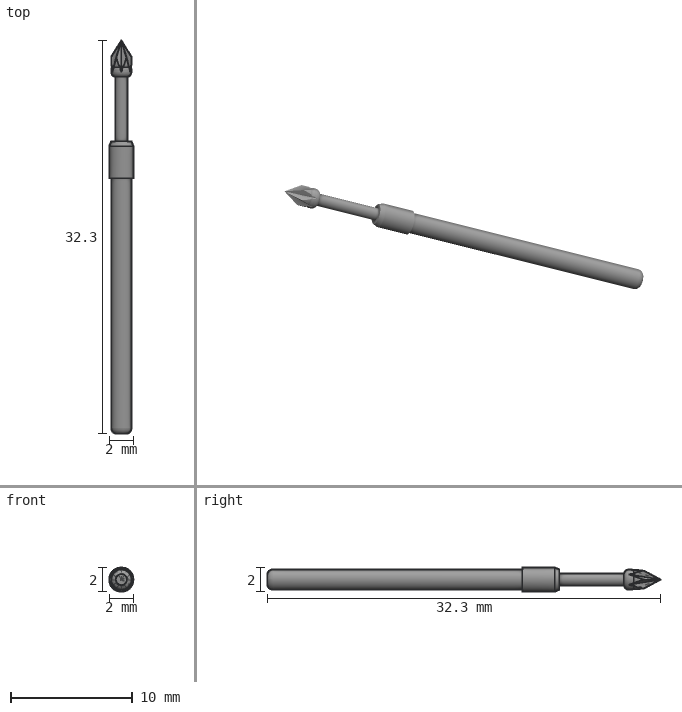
import cadquery as cq
import math

total_length = 32.3

barrel_radius = 0.85
tail_flat_radius = 0.45
tail_round_length = 0.5

collar_radius = 1.0
collar_rear = 20.95
collar_length = 3.05
collar_taper_length = 0.4
collar_face_radius = 0.85

shank_radius = 0.52
head_radius = 0.85
head_length = 3.0
head_round_length = 0.42

groove_center = 2.2
groove_width = 0.4
groove_depth = 0.05

ridge_count = 6
ridge_length = 1.35
valley_length = 2.6

collar_front = collar_rear + collar_length
head_rear = total_length - head_length


def turned_body():
    """Barrel, collar and shank as one solid of revolution; the tail rounding is tangent to the barrel."""
    profile = (
        cq.Workplane("XY")
        .lineTo(0, head_rear)
        .lineTo(shank_radius, head_rear)
        .lineTo(shank_radius, collar_front)
        .lineTo(collar_face_radius, collar_front)
        .lineTo(collar_radius, collar_front - collar_taper_length)
        .lineTo(collar_radius, collar_rear)
        .lineTo(barrel_radius, collar_rear)
        .lineTo(barrel_radius, tail_round_length)
        .tangentArcPoint((tail_flat_radius, 0), relative=False)
        .close()
    )
    return profile.revolve(360, (0, 0, 0), (0, 1, 0))


def head_blank():
    """Cylindrical head with a V-groove, its rear edge rounded down to the shank."""
    groove_y = total_length - groove_center
    profile = (
        cq.Workplane("XY")
        .moveTo(0, head_rear)
        .lineTo(0, total_length)
        .lineTo(head_radius, total_length)
        .lineTo(head_radius, groove_y + groove_width / 2)
        .lineTo(head_radius - groove_depth, groove_y)
        .lineTo(head_radius, groove_y - groove_width / 2)
        .lineTo(head_radius, head_rear + head_round_length)
        .tangentArcPoint((shank_radius, head_rear), relative=False)
        .close()
    )
    return profile.revolve(360, (0, 0, 0), (0, 1, 0))


def star_outline():
    """Corners of the star at the rear of the head, ridge and valley alternating."""
    ridge_radius = head_radius * head_length / ridge_length
    valley_radius = head_radius * head_length / valley_length
    corner_count = 2 * ridge_count
    corners = []
    for i in range(corner_count):
        angle = 2 * math.pi * i / corner_count
        radius = ridge_radius if i % 2 == 0 else valley_radius
        corners.append(cq.Vector(radius * math.cos(angle), head_rear, radius * math.sin(angle)))
    return corners


def star_pyramid():
    """Pyramid over the star outline with its apex at the tip; the first ridge points to +X."""
    apex = cq.Vector(0, total_length, 0)
    corners = star_outline()
    outlines = [corners]
    for i, corner in enumerate(corners):
        outlines.append([corner, corners[i - 1], apex])
    faces = [cq.Face.makeFromWires(cq.Wire.makePolygon(points, close=True)) for points in outlines]
    return cq.Workplane(cq.Solid.makeSolid(cq.Shell.makeShell(faces)))


fluted_head = head_blank().intersect(star_pyramid())

probe = turned_body().union(fluted_head)
result = cq.Workplane(probe.solids().val())